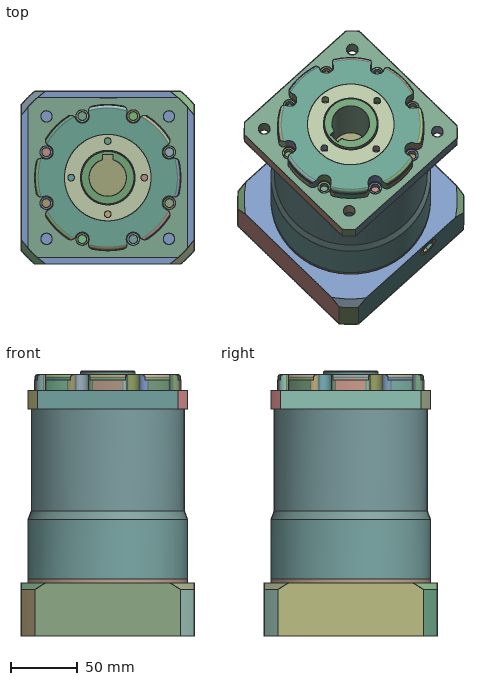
import cadquery as cq
import math

adapter_top_z = 40.0
pilot_top_z = 43.0
cone_bottom_z = 87.5
cone_top_z = 94.0
hub_bottom_z = 143.0
flange_bottom_z = 170.5
flange_top_z = 184.5
lug_step_z = 192.5
face_z = 196.5
shaft_end_z = 199.0

adapter_width = 130.0
adapter_corner_radius = 85.0
adapter_corner_chamfer = 5.0

plug_diameter = 16.0
plug_length = 12.0
plug_y = -18.0
plug_z = 29.5
plug_hex_across_flats = 10.0
plug_hex_depth = 6.0

lower_radius = 60.0
upper_radius = 57.5
flange_width = 120.0
flange_corner_radius = 80.0
mount_hole_diameter = 8.5
mount_circle_radius = 65.0
mount_hole_count = 4
first_mount_hole_angle = 45.0

disc_radius = 55.0
disc_step = 0.5
disc_fillet = 2.2

slot_count = 8
slot_angle_step = 360.0 / slot_count
slot_circle_radius = 50.0
slot_radius = 5.25
screw_recess_diameter = 9.4
screw_recess_depth = 0.5
screw_hole_diameter = 6.6
screw_hole_depth = 6.0

hub_radius = 32.5
stub_radius = 20.5
stub_chamfer = 0.8
bore_diameter = 28.0
key_width = 8.0
key_reach = 17.3
tapped_hole_diameter = 5.0
tapped_hole_depth = 10.0
tapped_circle_radius = 27.5
tapped_hole_count = 4


def cylinder(radius, bottom_z, top_z):
    return cq.Workplane("XY").workplane(offset=bottom_z).circle(radius).extrude(top_z - bottom_z)


def turned_square(width, corner_radius, bottom_z, top_z, corner_chamfer=0.0):
    """Square plate whose corners are turned to a circle, with an optional chamfer on the turned edge."""
    height = top_z - bottom_z
    square = cq.Workplane("XY").workplane(offset=bottom_z).rect(width, width).extrude(height)
    disc = cylinder(corner_radius, bottom_z, top_z)
    if corner_chamfer > 0:
        disc = disc.faces(">Z").edges().chamfer(corner_chamfer)
    return square.intersect(disc)


def plug_plane():
    """Workplane on the -X side of the adapter, centred on the plug and facing into the adapter."""
    return cq.Workplane("YZ", origin=(-adapter_width / 2, plug_y, plug_z))


def plug_cylinder():
    return plug_plane().circle(plug_diameter / 2).extrude(plug_length)


def make_plug():
    """Plug flush with the adapter side, with a hexagon socket standing on one corner."""
    across_corners = plug_hex_across_flats / math.cos(math.radians(30))
    socket = (
        plug_plane()
        .transformed(rotate=(0, 0, 90))
        .polygon(6, across_corners)
        .extrude(plug_hex_depth)
    )
    return plug_cylinder().cut(socket)


def make_adapter():
    """Square plate with a round pilot on top and a hole for the plug."""
    plate = turned_square(
        adapter_width, adapter_corner_radius, 0, adapter_top_z, adapter_corner_chamfer
    )
    pilot = cylinder(lower_radius, adapter_top_z, pilot_top_z)
    return plate.union(pilot).cut(plug_cylinder())


def make_housing_barrel():
    """Turned barrel from the adapter pilot up to the flange, with a cone between its two diameters."""
    return (
        cq.Workplane("XZ")
        .moveTo(0, pilot_top_z)
        .lineTo(lower_radius, pilot_top_z)
        .lineTo(lower_radius, cone_bottom_z)
        .lineTo(upper_radius, cone_top_z)
        .lineTo(upper_radius, flange_bottom_z)
        .lineTo(0, flange_bottom_z)
        .close()
        .revolve(360, (0, 0, 0), (0, 1, 0))
    )


def make_centring_disc():
    """Turned disc with a small step in its rim and a rounded top edge."""
    base = cylinder(disc_radius, flange_top_z, lug_step_z)
    crown = cylinder(disc_radius - disc_step, lug_step_z, face_z)
    return base.union(crown.faces(">Z").edges().fillet(disc_fillet))


def make_slot_cutter():
    """Radial slot with a round inner end and rounded lips that blend into the disc rim."""
    lip_radius = (disc_radius**2 - slot_radius**2 - slot_circle_radius**2) / (
        2 * (disc_radius + slot_radius)
    )
    lip_centre_y = slot_radius + lip_radius
    lip_angle = math.atan2(lip_centre_y, slot_circle_radius)
    rim_x = disc_radius * math.cos(lip_angle)
    rim_y = disc_radius * math.sin(lip_angle)
    lip_mid_angle = (lip_angle - math.pi / 2) / 2
    lip_mid_x = slot_circle_radius + lip_radius * math.cos(lip_mid_angle)
    lip_mid_y = lip_centre_y + lip_radius * math.sin(lip_mid_angle)
    outside_x = disc_radius + lip_radius
    return (
        cq.Workplane("XY")
        .workplane(offset=flange_top_z)
        .moveTo(slot_circle_radius, slot_radius)
        .threePointArc((lip_mid_x, lip_mid_y), (rim_x, rim_y))
        .lineTo(outside_x, rim_y)
        .lineTo(outside_x, -rim_y)
        .lineTo(rim_x, -rim_y)
        .threePointArc((lip_mid_x, -lip_mid_y), (slot_circle_radius, -slot_radius))
        .threePointArc((slot_circle_radius - slot_radius, 0), (slot_circle_radius, slot_radius))
        .close()
        .extrude(face_z - flange_top_z)
    )


def make_screw_hole_cutter():
    """Shallow recess and blind hole in the floor of a slot."""
    recess = cylinder(screw_recess_diameter / 2, flange_top_z - screw_recess_depth, flange_top_z)
    hole = cylinder(screw_hole_diameter / 2, flange_top_z - screw_hole_depth, flange_top_z)
    return recess.union(hole).translate((slot_circle_radius, 0, 0))


def make_housing():
    """Barrel, mounting flange and slotted centring disc, with a pocket for the shaft hub."""
    flange = turned_square(flange_width, flange_corner_radius, flange_bottom_z, flange_top_z)
    mount_holes = (
        cq.Workplane("XY")
        .workplane(offset=flange_bottom_z)
        .polarArray(mount_circle_radius, first_mount_hole_angle, 360, mount_hole_count)
        .circle(mount_hole_diameter / 2)
        .extrude(flange_top_z - flange_bottom_z)
    )
    disc = make_centring_disc()
    slot = make_slot_cutter()
    screw_hole = make_screw_hole_cutter()
    flange = flange.cut(mount_holes)
    for index in range(slot_count):
        angle = (index + 0.5) * slot_angle_step
        disc = disc.cut(slot.rotate((0, 0, 0), (0, 0, 1), angle))
        flange = flange.cut(screw_hole.rotate((0, 0, 0), (0, 0, 1), angle))
    hub_pocket = cylinder(hub_radius, hub_bottom_z, face_z)
    return make_housing_barrel().union(flange).union(disc).cut(hub_pocket)


def make_output_shaft():
    """Hub with tapped holes and a chamfered stub, bored through with a keyway on the +Y side."""
    hub = cylinder(hub_radius, hub_bottom_z, face_z)
    stub = cylinder(stub_radius, face_z, shaft_end_z).faces(">Z").edges().chamfer(stub_chamfer)
    bore = cylinder(bore_diameter / 2, hub_bottom_z, shaft_end_z)
    keyway = (
        cq.Workplane("XY")
        .workplane(offset=hub_bottom_z)
        .center(0, key_reach / 2)
        .rect(key_width, key_reach)
        .extrude(shaft_end_z - hub_bottom_z)
    )
    tapped_holes = (
        cq.Workplane("XY")
        .workplane(offset=face_z - tapped_hole_depth)
        .polarArray(tapped_circle_radius, 0, 360, tapped_hole_count)
        .circle(tapped_hole_diameter / 2)
        .extrude(tapped_hole_depth)
    )
    return hub.union(stub).cut(bore).cut(keyway).cut(tapped_holes)


adapter = make_adapter()
plug = make_plug()
housing = make_housing()
output_shaft = make_output_shaft()

result = cq.Compound.makeCompound(
    [body.solids().val() for body in (adapter, plug, housing, output_shaft)]
)